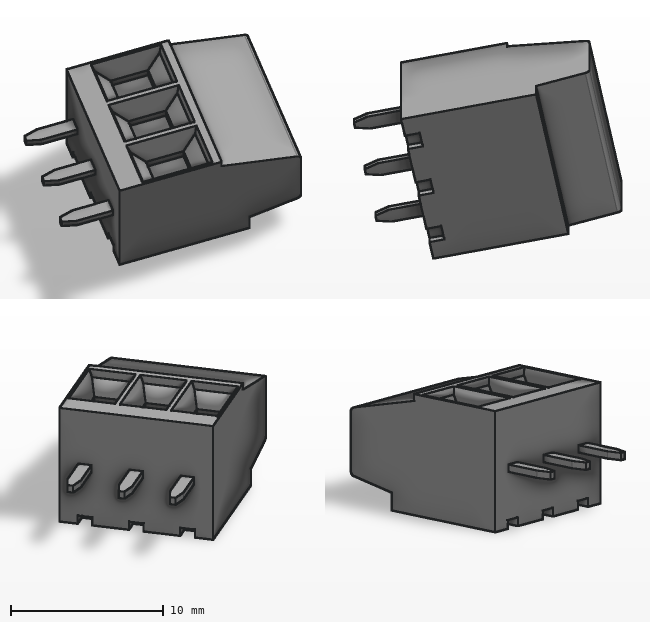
import cadquery as cq


TOTAL_LENGTH = 16.1
BODY_WIDTH = 10.5
BODY_HEIGHT = 8.2
PIN_LENGTH = 3.48
BODY_LENGTH = TOTAL_LENGTH - PIN_LENGTH

WAY_COUNT = 3
WAY_PITCH = BODY_WIDTH / WAY_COUNT
WAY_CENTRES = [(way - (WAY_COUNT - 1) / 2) * WAY_PITCH for way in range(WAY_COUNT)]

TOP_BLOCK_LENGTH = 7.1
TOP_STEP = 0.47
BASE_BLOCK_LENGTH = 9.05
BASE_STEP = 1.2
NOSE_TOP = 6.36
NOSE_BOTTOM = 1.84
NOSE_RADIUS = 0.34

PIN_WIDTH = 0.9
PIN_THICKNESS = 0.5
PIN_TIP_WIDTH = 0.39
PIN_TIP_LENGTH = 0.97
PIN_CENTRE_HEIGHT = BODY_HEIGHT / 2

POCKET_CENTRE = 4.07
MOUTH_WIDTH = 3.15
MOUTH_LENGTH = 4.88
WELL_WIDTH = 1.8
WELL_LENGTH = 2.61
END_WALL_SETBACK = 0.18
BREAK_DEPTH = 0.5
FUNNEL_DEPTH = 1.45
POCKET_DEPTH = 2.0

NOTCH_WIDTH = 1.0
NOTCH_HEIGHT = 0.6
NOTCH_DEPTH = 1.0


def make_body():
    profile = [
        (0, 0),
        (BASE_BLOCK_LENGTH, 0),
        (BASE_BLOCK_LENGTH, BASE_STEP),
        (BODY_LENGTH, NOSE_BOTTOM),
        (BODY_LENGTH, NOSE_TOP),
        (TOP_BLOCK_LENGTH, BODY_HEIGHT - TOP_STEP),
        (TOP_BLOCK_LENGTH, BODY_HEIGHT),
        (0, BODY_HEIGHT),
    ]
    body = cq.Workplane("YZ").polyline(profile).close().extrude(BODY_WIDTH / 2, both=True)
    return body.faces(">Y").edges("|X").fillet(NOSE_RADIUS)


def make_pin(x_centre):
    shoulder = PIN_TIP_LENGTH - PIN_LENGTH
    outline = [
        (-PIN_WIDTH / 2, 0),
        (-PIN_WIDTH / 2, shoulder),
        (-PIN_TIP_WIDTH / 2, -PIN_LENGTH),
        (PIN_TIP_WIDTH / 2, -PIN_LENGTH),
        (PIN_WIDTH / 2, shoulder),
        (PIN_WIDTH / 2, 0),
    ]
    pin = cq.Workplane("XY").polyline(outline).close().extrude(PIN_THICKNESS / 2, both=True)
    return pin.translate((x_centre, 0, PIN_CENTRE_HEIGHT))


def pocket_stage(upper, lower):
    """Solid between two rectangular sections, each given as (width, length, depth)."""
    sections = []
    for width, length, depth in (upper, lower):
        centre = (0, POCKET_CENTRE, BODY_HEIGHT - depth)
        section = cq.Workplane("XY", origin=centre).rect(width, length)
        sections.append(section.val())
    return cq.Workplane(cq.Solid.makeLoft(sections, True))


def make_pocket(x_centre):
    break_width = MOUTH_WIDTH - (MOUTH_WIDTH - WELL_WIDTH) * BREAK_DEPTH / FUNNEL_DEPTH
    break_length = MOUTH_LENGTH - 2 * END_WALL_SETBACK
    mouth = (MOUTH_WIDTH, MOUTH_LENGTH, 0)
    wall_break = (break_width, break_length, BREAK_DEPTH)
    well_rim = (WELL_WIDTH, WELL_LENGTH, FUNNEL_DEPTH)
    well_floor = (WELL_WIDTH, WELL_LENGTH, POCKET_DEPTH)

    pocket = pocket_stage(mouth, wall_break)
    pocket = pocket.union(pocket_stage(wall_break, well_rim))
    pocket = pocket.union(pocket_stage(well_rim, well_floor))
    return pocket.translate((x_centre, 0, 0))


def make_notch(x_centre):
    notch = cq.Workplane("XY").box(
        NOTCH_WIDTH, NOTCH_DEPTH, NOTCH_HEIGHT, centered=(True, False, False)
    )
    return notch.translate((x_centre, 0, 0))


result = make_body()
for way_centre in WAY_CENTRES:
    result = result.cut(make_pocket(way_centre))
    result = result.cut(make_notch(way_centre))
    result = result.union(make_pin(way_centre))